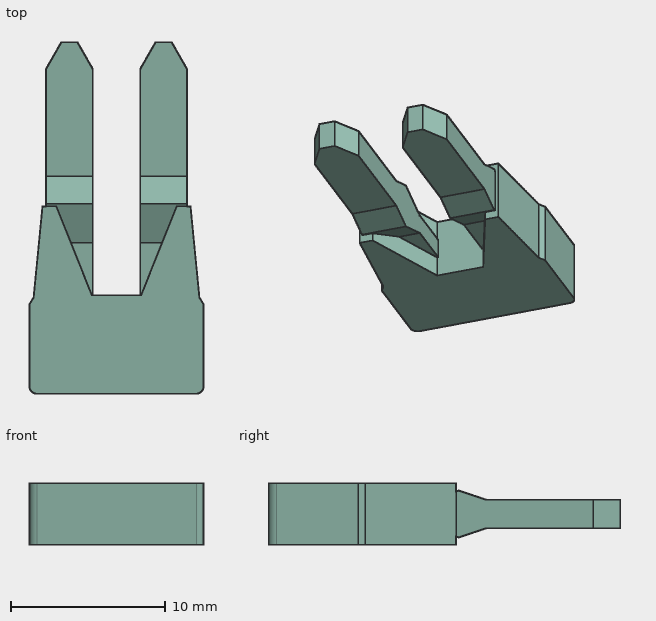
import cadquery as cq

total_length = 22.78
thickness = 4.0

base_width = 11.3
shoulder_width = 10.75
front_width = 9.6
housing_length = 12.15
base_side_length = 5.8
shoulder_y = 6.25
corner_radius = 0.5

notch_floor_y = 6.4
notch_floor_width = 3.2
notch_mouth_width = 7.8

pin_width = 3.05
pin_spacing = 6.1
pin_thickness = 1.85
tip_width = 1.05
tip_length = 1.75

collar_thickness = 3.05
collar_start_y = 9.78
collar_peak_y = 12.32
collar_end_y = 14.1
root_thickness = 1.3
root_y = 5.0


def mirrored_outline(half_outline):
    """Close a right-hand outline with its mirror image about the Y axis."""
    return half_outline + [(-x, y) for x, y in reversed(half_outline)]


def extrude_plan(points):
    """Extrude an XY outline over the full thickness, centred on Z = 0."""
    return cq.Workplane("XY").polyline(points).close().extrude(thickness / 2, both=True)


def make_housing():
    """Block with tapering arms, rounded back corners and an open notch."""
    body = extrude_plan(mirrored_outline([
        (base_width / 2, 0),
        (base_width / 2, base_side_length),
        (shoulder_width / 2, shoulder_y),
        (front_width / 2, housing_length),
    ]))
    body = body.faces("<Y").edges("|Z").fillet(corner_radius)
    notch = extrude_plan(mirrored_outline([
        (notch_floor_width / 2, notch_floor_y),
        (notch_mouth_width / 2, housing_length),
    ]))
    return body.cut(notch)


def make_pin(center_x):
    """Flat pin with a pointed tip and a collar symmetric about Z = 0."""
    plan = extrude_plan(mirrored_outline([
        (pin_width / 2, root_y),
        (pin_width / 2, total_length - tip_length),
        (tip_width / 2, total_length),
    ]))
    upper_profile = [
        (root_y, root_thickness / 2),
        (collar_start_y, root_thickness / 2),
        (collar_peak_y, collar_thickness / 2),
        (collar_end_y, pin_thickness / 2),
        (total_length, pin_thickness / 2),
    ]
    lower_profile = [(y, -z) for y, z in reversed(upper_profile)]
    side = (
        cq.Workplane("YZ")
        .polyline(upper_profile + lower_profile)
        .close()
        .extrude(pin_width, both=True)
    )
    return plan.intersect(side).translate((center_x, 0, 0))


result = make_housing()
for side_sign in (-1, 1):
    result = result.union(make_pin(side_sign * pin_spacing / 2))